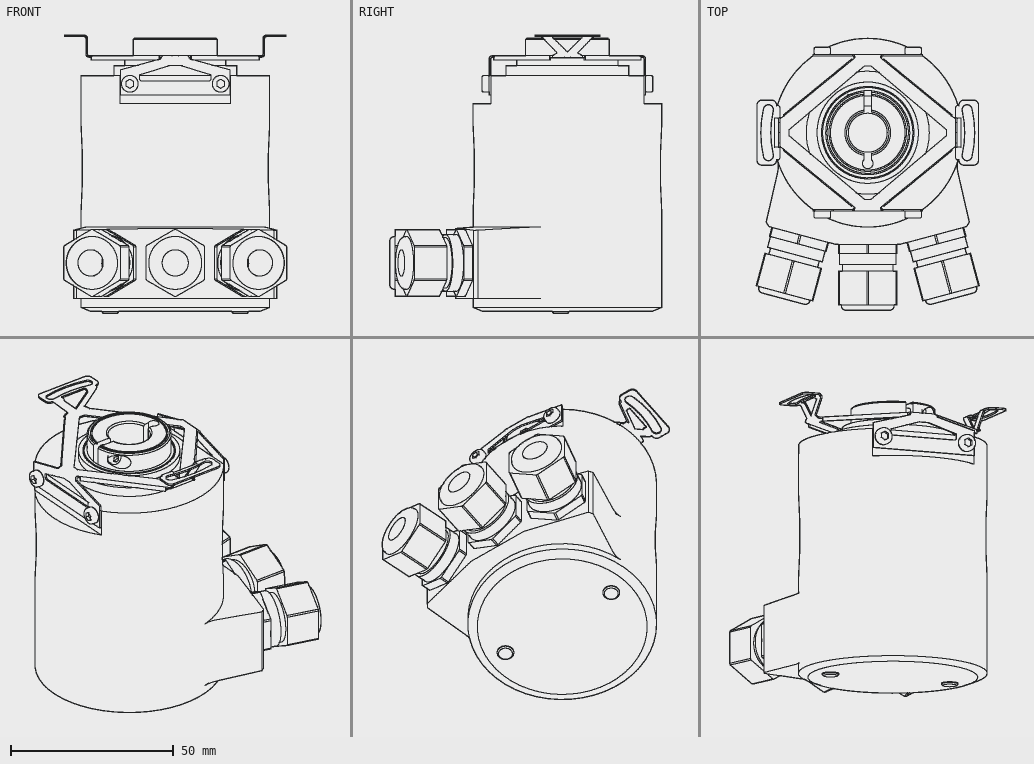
import cadquery as cq
import math

body_radius = 29.0
waist_radius = 28.55
base_z = 0.7
base_chamfer_height = 1.2
base_chamfer_width = 2.9
waist_bottom_z = 31.7
waist_top_z = 57.5
body_top_z = 73.0
flat_y = 23.5
flat_bottom_z = 64.5
foot_radius = 2.6
foot_chamfer = 0.4
foot_x = 19.9
foot_y = -2.05

shoulder_radius = 18.9
shoulder_top_z = 76.1
collar_radius = 15.6
collar_top_z = 78.4
collar_groove_radius = 14.2
collar_groove_width = 0.3
face_groove_depth = 0.4
hub_radius = 12.9
hub_top_z = 84.6
hub_chamfer = 0.4
hub_ring_radius = 11.9
hub_ring_groove_width = 0.4
bore_radius = 6.0
bore_mouth_radius = 6.5
bore_mouth_chamfer = 0.5
bore_floor_z = 51.3
bore_tip_height = 3.4
slot_width = 2.3
slot_floor_z = shoulder_top_z
relief_radius = 1.6
relief_y = -9.4
clamp_screw_y = 9.7
clamp_screw_z = 81.6
clamp_pocket_radius = 2.3
clamp_pocket_x = -4.7
clamp_head_radius = 2.05
clamp_head_height = 1.5
clamp_head_round = 0.4
clamp_shank_radius = 1.5
clamp_socket_width = 1.9
clamp_socket_depth = 0.85

sheet = 0.5
bend_radius = 0.8
bend_lap = 0.85
plate_top_z = 79.2
plate_middle_z = plate_top_z - sheet / 2
ear_leg_x = 27.2
plate_half_x = ear_leg_x - bend_radius
plate_end_half_y = 4.6
plate_half_y = flat_y + sheet
plate_end_half_x = 3.9
plate_fold_y = flat_y + sheet / 2 - bend_radius
rim_bottom_z = 77.8
rim_end_gap = 1.0
rim_overhang = 0.3
rim_round = 0.4
window_half_x = 24.1
window_half_y = 20.5
window_blunt = 0.9

strap_half_x = 16.85
strap_bottom_z = 67.0
strap_shoulder_z = 74.8
strap_neck_half_x = 4.6
strap_neck_z = 78.15
strap_window = [(10.5, 71.4), (10.95, 71.8), (10.95, 73.3), (1.5, 76.2)]
strap_screw_x = 13.9
strap_screw_z = 70.5
strap_head_radius = 2.6
strap_head_height = 2.2
strap_head_round = 0.6
strap_head_foot_round = 0.3
strap_socket_width = 2.4
strap_socket_depth = 1.0

ear_top_z = 85.5
ear_tip_x = 34.0
ear_half_y = 10.0
ear_corner = 1.5
ear_leg_half_y = 8.5
ear_throat_half_y = 3.2
ear_throat_z = 80.0
ear_notch_half_y = 4.45
ear_notch_x = 28.55
ear_notch_apex_z = 80.3
ear_slot_radius = 31.3
ear_slot_width = 3.0
ear_slot_half_y = 8.55

block_bottom_z = 4.6
block_top_z = 26.6
block_top_slope = 4.5
block_front_y = -34.3
block_front_half_x = 9.9
gland_tilt = 15.0
block_corner_x = 30.35
block_side_corner = (31.2, -27.45)
block_side_start = (27.7, -12.2)
block_blend_y = -8.3
gland_z = 15.6
gland_offset = 11.2
gland_hex_flats = 18.0
gland_hex_corner_radius = 10.3
gland_hex_height = 2.8
gland_collar_radius = 8.7
gland_collar_end = 6.2
gland_neck_radius = 7.8
nut_start = 8.2
nut_end = 18.55
gland_end = 20.3
gland_dome_radius = 8.1
gland_dome_round = 1.45
gland_bore_radius = 4.0
gland_bore_depth = 28.2


def box(x_range, y_range, z_range):
    """Box given by its limits along each axis."""
    lows, highs = zip(x_range, y_range, z_range)
    size = [high - low for low, high in zip(lows, highs)]
    return cq.Workplane("XY").box(*size, centered=False).translate(lows)


def disc(radius, bottom_z, top_z):
    """Upright cylinder on the main axis."""
    return cq.Workplane("XY").workplane(offset=bottom_z).circle(radius).extrude(top_z - bottom_z)


def hexagon(plane, flats, length):
    """Hexagonal prism with two corners along the plane's local x."""
    return cq.Workplane(plane).polygon(6, flats / math.cos(math.pi / 6)).extrude(length)


def mirrored_outline(half):
    """Closed symmetric outline from the points of its positive half."""
    return half + [(-u, v) for u, v in reversed(half)]


def housing():
    profile = (
        cq.Workplane("XZ")
        .moveTo(0, base_z)
        .lineTo(body_radius - base_chamfer_width, base_z)
        .lineTo(body_radius, base_z + base_chamfer_height)
        .lineTo(body_radius, waist_bottom_z)
        .threePointArc((waist_radius, (waist_bottom_z + waist_top_z) / 2), (body_radius, waist_top_z))
        .lineTo(body_radius, body_top_z)
        .lineTo(0, body_top_z)
        .close()
    )
    body = profile.revolve(360, (0, 0, 0), (0, 1, 0))
    for side in (-1, 1):
        y_range = sorted((side * flat_y, side * 2 * body_radius))
        body = body.cut(box((-body_radius, body_radius), y_range, (flat_bottom_z, body_top_z)))
        foot = disc(foot_radius, 0, base_z + foot_chamfer).faces("<Z").chamfer(foot_chamfer)
        body = body.union(foot.translate((side * foot_x, foot_y, 0)))
    return body


def terminal_block():
    side_x, side_y = block_side_corner
    start_x, start_y = block_side_start
    blend_x = math.sqrt(body_radius**2 - block_blend_y**2)
    rise = (block_corner_x - block_front_half_x) * math.tan(math.radians(gland_tilt))
    right_half = (
        cq.Workplane("XY")
        .workplane(offset=block_bottom_z)
        .moveTo(0, block_front_y)
        .lineTo(block_front_half_x, block_front_y)
        .lineTo(block_corner_x, block_front_y + rise)
        .lineTo(side_x, side_y)
        .lineTo(start_x, start_y)
        .tangentArcPoint((blend_x, block_blend_y), relative=False)
        .lineTo(0, block_blend_y)
        .close()
        .extrude(block_top_z - block_bottom_z)
    )
    block = right_half.union(right_half.mirror("YZ"))
    reach = 2 * body_radius
    drop = (reach - body_radius) * math.tan(math.radians(block_top_slope))
    cone = (
        cq.Workplane("XZ")
        .polyline(
            [
                (0, 0),
                (reach, 0),
                (reach, block_top_z - drop),
                (body_radius, block_top_z),
                (0, block_top_z),
            ]
        )
        .close()
        .revolve(360, (0, 0, 0), (0, 1, 0))
    )
    return block.intersect(cone)


def gland_plane(side):
    """Plane of a gland seat, facing out of the block; side is -1, 0 or 1."""
    angle = math.radians(side * gland_tilt)
    x = side * (block_front_half_x + gland_offset * math.cos(angle))
    y = block_front_y + side * gland_offset * math.sin(angle)
    normal = (math.sin(angle), -math.cos(angle), 0)
    return cq.Plane(origin=(x, y, gland_z), xDir=(0, 0, 1), normal=normal)


def gland(plane):
    seat = cq.Workplane(plane)
    hexes = hexagon(plane, gland_hex_flats, gland_hex_height)
    nut = hexagon(plane, gland_hex_flats, nut_end).cut(hexagon(plane, 2 * gland_hex_flats, nut_start))
    hexes = hexes.union(nut).intersect(seat.circle(gland_hex_corner_radius).extrude(gland_end))
    dome = seat.circle(gland_dome_radius).extrude(gland_end)
    dome = dome.cut(seat.circle(2 * gland_dome_radius).extrude(nut_start))
    dome = dome.faces(cq.DirectionMinMaxSelector(plane.zDir, True)).edges().fillet(gland_dome_round)
    return (
        hexes.union(seat.circle(gland_collar_radius).extrude(gland_collar_end))
        .union(seat.circle(gland_neck_radius).extrude(nut_start))
        .union(dome)
    )


def gland_bore(plane):
    """Cable bore from the gland mouth on into the block."""
    mouth = cq.Workplane(plane).workplane(offset=gland_end)
    return mouth.circle(gland_bore_radius).extrude(-gland_bore_depth)


def face_groove(outer_radius, width, top_z):
    """Shallow ring to cut from a flat face."""
    bottom_z = top_z - face_groove_depth
    return disc(outer_radius, bottom_z, top_z).cut(disc(outer_radius - width, bottom_z, top_z))


def hub():
    turned = disc(shoulder_radius, body_top_z, shoulder_top_z)
    turned = turned.union(disc(collar_radius, shoulder_top_z, collar_top_z))
    turned = turned.union(disc(hub_radius, shoulder_top_z, hub_top_z).faces(">Z").chamfer(hub_chamfer))
    turned = turned.cut(face_groove(collar_groove_radius, collar_groove_width, collar_top_z))
    return turned.cut(face_groove(hub_ring_radius, hub_ring_groove_width, hub_top_z))


def bore():
    """Blind bore with a wider mouth and a conical end."""
    profile = [
        (0, bore_floor_z - bore_tip_height),
        (bore_radius, bore_floor_z),
        (bore_radius, slot_floor_z),
        (bore_mouth_radius, slot_floor_z),
        (bore_mouth_radius, hub_top_z - bore_mouth_chamfer),
        (bore_mouth_radius + bore_mouth_chamfer, hub_top_z),
        (0, hub_top_z),
    ]
    return cq.Workplane("XZ").polyline(profile).close().revolve(360, (0, 0, 0), (0, 1, 0))


def hub_slots():
    """Clamping slit on one side of the bore and its hinge slot on the other."""
    half = slot_width / 2
    slit = box((-half, half), (relief_y, hub_radius), (slot_floor_z, hub_top_z))
    return slit.union(disc(relief_radius, slot_floor_z, hub_top_z).translate((0, relief_y, 0)))


def add_clamp_screw(part):
    axis = cq.Workplane("YZ", origin=(clamp_pocket_x, clamp_screw_y, clamp_screw_z))
    part = part.cut(axis.circle(clamp_pocket_radius).extrude(-hub_radius))
    head = axis.circle(clamp_head_radius).extrude(-clamp_head_height)
    head = head.faces("<X").edges().fillet(clamp_head_round)
    socket_plane = cq.Plane(
        origin=(clamp_pocket_x - clamp_head_height, clamp_screw_y, clamp_screw_z),
        xDir=(0, 0, 1),
        normal=(1, 0, 0),
    )
    head = head.cut(hexagon(socket_plane, clamp_socket_width, clamp_socket_depth))
    shank = axis.circle(clamp_shank_radius).extrude(-2 * clamp_pocket_x)
    return part.union(head).union(shank)


def spring_plate():
    bottom_z = plate_top_z - sheet
    quarter = [(plate_half_x, plate_end_half_y), (plate_end_half_x, plate_fold_y)]
    right_side = [(x, -y) for x, y in reversed(quarter)] + quarter
    plate = cq.Workplane("XY").workplane(offset=bottom_z).polyline(mirrored_outline(right_side))
    plate = plate.close().extrude(sheet)
    window_side = [
        (window_blunt, -window_half_y),
        (window_half_x, -window_blunt),
        (window_half_x, window_blunt),
        (window_blunt, window_half_y),
    ]
    window = mirrored_outline(window_side)
    plate = plate.cut(cq.Workplane("XY").workplane(offset=bottom_z).polyline(window).close().extrude(sheet))
    run_x = plate_half_x - plate_end_half_x
    run_y = plate_fold_y - plate_end_half_y
    length = math.hypot(run_x, run_y) - 2 * rim_end_gap
    rim = cq.Workplane("XY").box(length, sheet, plate_top_z - rim_bottom_z, centered=(True, False, False))
    rim = rim.edges(">Y and >Z").fillet(rim_round).translate((0, rim_overhang - sheet, 0))
    rim = rim.rotate((0, 0, 0), (0, 0, 1), -math.degrees(math.atan2(run_y, run_x)))
    middle_x = (plate_half_x + plate_end_half_x) / 2
    middle_y = (plate_fold_y + plate_end_half_y) / 2
    rim = rim.translate((middle_x, middle_y, rim_bottom_z))
    rims = rim.union(rim.mirror("YZ"))
    return plate.union(rims).union(rims.mirror("XZ"))


def strap():
    """Strap with its two screws on the -Y flat."""
    strap_middle_y = flat_y + sheet / 2
    path = (
        cq.Workplane("YZ")
        .moveTo(bend_lap - plate_fold_y, plate_middle_z)
        .lineTo(-plate_fold_y, plate_middle_z)
        .tangentArcPoint((-strap_middle_y, plate_middle_z - bend_radius), relative=False)
        .lineTo(-strap_middle_y, strap_bottom_z - bend_lap)
    )
    outline = mirrored_outline(
        [
            (strap_half_x, strap_bottom_z),
            (strap_half_x, strap_shoulder_z),
            (strap_neck_half_x, strap_neck_z),
            (plate_end_half_x, plate_top_z),
        ]
    )
    front = cq.Workplane("XZ")
    sheet_part = path.offset2D(sheet / 2).extrude(strap_half_x, both=True)
    sheet_part = sheet_part.intersect(front.polyline(outline).close().extrude(plate_half_y))
    window = front.polyline(mirrored_outline(strap_window)).close().extrude(plate_half_y)
    sheet_part = sheet_part.cut(window)
    for x in (-strap_screw_x, strap_screw_x):
        seat = cq.Workplane("XZ", origin=(x, -plate_half_y, strap_screw_z))
        head = seat.circle(strap_head_radius).extrude(strap_head_height)
        head = head.faces("<Y").edges().fillet(strap_head_round)
        head = head.faces(">Y").edges().fillet(strap_head_foot_round)
        socket_plane = cq.Plane(
            origin=(x, -plate_half_y - strap_head_height, strap_screw_z),
            xDir=(0, 0, 1),
            normal=(0, 1, 0),
        )
        socket = hexagon(socket_plane, strap_socket_width, strap_socket_depth)
        sheet_part = sheet_part.union(head.cut(socket))
    return sheet_part


def ear():
    """Raised slotted ear at the +X end of the spring plate."""
    ear_middle_z = ear_top_z - sheet / 2
    flange_x = ear_leg_x + bend_radius
    path = (
        cq.Workplane("XZ")
        .moveTo(plate_half_x - bend_lap, plate_middle_z)
        .lineTo(plate_half_x, plate_middle_z)
        .tangentArcPoint((ear_leg_x, plate_middle_z + bend_radius), relative=False)
        .lineTo(ear_leg_x, ear_middle_z - bend_radius)
        .tangentArcPoint((flange_x, ear_middle_z), relative=False)
        .lineTo(ear_tip_x + bend_lap, ear_middle_z)
    )
    strip = path.offset2D(sheet / 2).extrude(ear_half_y, both=True)

    leg_outline = mirrored_outline(
        [
            (plate_end_half_y, plate_top_z - sheet),
            (plate_end_half_y, plate_top_z),
            (ear_throat_half_y, ear_throat_z),
            (ear_leg_half_y, ear_top_z),
        ]
    )
    leg_shape = cq.Workplane("YZ").polyline(leg_outline).close().extrude(flange_x)
    ear_z = (ear_top_z - sheet, ear_top_z)
    flange_shape = box((flange_x, ear_tip_x), (-ear_half_y, ear_half_y), ear_z)
    flange_shape = flange_shape.edges("|Z").fillet(ear_corner)
    blank = strip.intersect(leg_shape.union(flange_shape))

    notch_side_z = ear_notch_apex_z + ear_notch_half_y
    notch_outline = [
        (0, ear_notch_apex_z),
        (ear_notch_half_y, notch_side_z),
        (ear_notch_half_y, ear_top_z),
        (-ear_notch_half_y, ear_top_z),
        (-ear_notch_half_y, notch_side_z),
    ]
    notch = cq.Workplane("YZ").polyline(notch_outline).close().extrude(ear_notch_x)

    end_angle = math.asin((ear_slot_half_y - ear_slot_width / 2) / ear_slot_radius)

    def on_arc(radius, angle):
        return (radius * math.cos(angle), radius * math.sin(angle))

    half_width = ear_slot_width / 2
    inner = ear_slot_radius - half_width
    outer = ear_slot_radius + half_width
    slot = (
        cq.Workplane("XY")
        .workplane(offset=ear_z[0])
        .moveTo(*on_arc(inner, -end_angle))
        .threePointArc((inner, 0), on_arc(inner, end_angle))
        .tangentArcPoint(on_arc(outer, end_angle), relative=False)
        .threePointArc((outer, 0), on_arc(outer, -end_angle))
        .tangentArcPoint(on_arc(inner, -end_angle), relative=False)
        .close()
        .extrude(sheet)
    )
    return blank.cut(notch).cut(slot)


result = housing().union(terminal_block())
for gland_side in (-1, 0, 1):
    seat_plane = gland_plane(gland_side)
    result = result.union(gland(seat_plane)).cut(gland_bore(seat_plane))
result = result.union(hub()).cut(bore()).cut(hub_slots())
result = add_clamp_screw(result)
result = result.union(spring_plate())
result = result.union(strap()).union(strap().mirror("XZ"))
result = result.union(ear()).union(ear().mirror("YZ"))